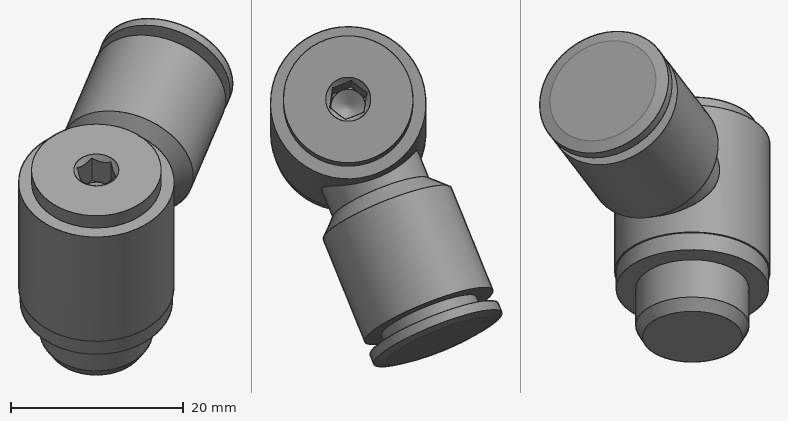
import cadquery as cq
import math

body_radius = 8.995
collar_radius = 8.83
spigot_radius = 6.55
spigot_tip_radius = 5.75
cap_radius = 7.5
spigot_chamfer_height = 1.45
collar_bottom = 6.47
collar_top = 8.75
body_top = 25.8
total_height = 27.8

total_length = 37.4
port_end = total_length - body_radius
port_height = 17.4
sleeve_radius = 8.0
stem_radius = 6.003
ring_end_radius = 6.6
ring_chamfer_length = 0.35
ring_thickness = 1.5
groove_width = 1.7
groove_radius = 5.95
sleeve_length = 12.98
taper_length = sleeve_radius - stem_radius

hex_across_flats = 4.0
hex_depth = 4.0
countersink_radius = 2.6
countersink_angle = 45.0
drill_half_angle = 59.0


def revolve_profile(points):
    """Revolve (radius, height) points about the Z axis."""
    return cq.Workplane("XZ").polyline(points).close().revolve(360, (0, 0), (0, 1))


def make_body():
    return revolve_profile([
        (0, 0),
        (spigot_tip_radius, 0),
        (spigot_radius, spigot_chamfer_height),
        (spigot_radius, collar_bottom),
        (collar_radius, collar_bottom),
        (collar_radius, collar_top),
        (body_radius, collar_top),
        (body_radius, body_top),
        (cap_radius, body_top),
        (cap_radius, total_height),
        (0, total_height),
    ])


def make_port():
    ring_inner = port_end - ring_thickness
    sleeve_outer = ring_inner - groove_width
    sleeve_inner = sleeve_outer - sleeve_length
    taper_inner = sleeve_inner - taper_length
    port = revolve_profile([
        (0, 0),
        (stem_radius, 0),
        (stem_radius, taper_inner),
        (sleeve_radius, sleeve_inner),
        (sleeve_radius, sleeve_outer),
        (groove_radius, sleeve_outer),
        (groove_radius, ring_inner),
        (sleeve_radius, ring_inner),
        (sleeve_radius, port_end - ring_chamfer_length),
        (ring_end_radius, port_end),
        (0, port_end),
    ])
    return port.rotate((0, 0, 0), (1, 0, 0), -90).translate((0, 0, port_height))


def make_socket():
    """Hexagon hole with a countersunk mouth and a drilled cone at its floor."""
    floor = total_height - hex_depth
    flat_radius = hex_across_flats / 2
    corner_diameter = hex_across_flats / math.cos(math.radians(30))
    hexagon = cq.Workplane("XY").workplane(offset=floor).polygon(6, corner_diameter).extrude(hex_depth)
    countersink_depth = countersink_radius / math.tan(math.radians(countersink_angle))
    countersink = revolve_profile([
        (0, total_height - countersink_depth),
        (countersink_radius, total_height),
        (0, total_height),
    ])
    drill_depth = flat_radius / math.tan(math.radians(drill_half_angle))
    drill_tip = revolve_profile([
        (0, floor - drill_depth),
        (flat_radius, floor),
        (0, floor),
    ])
    return hexagon.union(countersink).union(drill_tip)


result = make_body().union(make_port()).cut(make_socket())